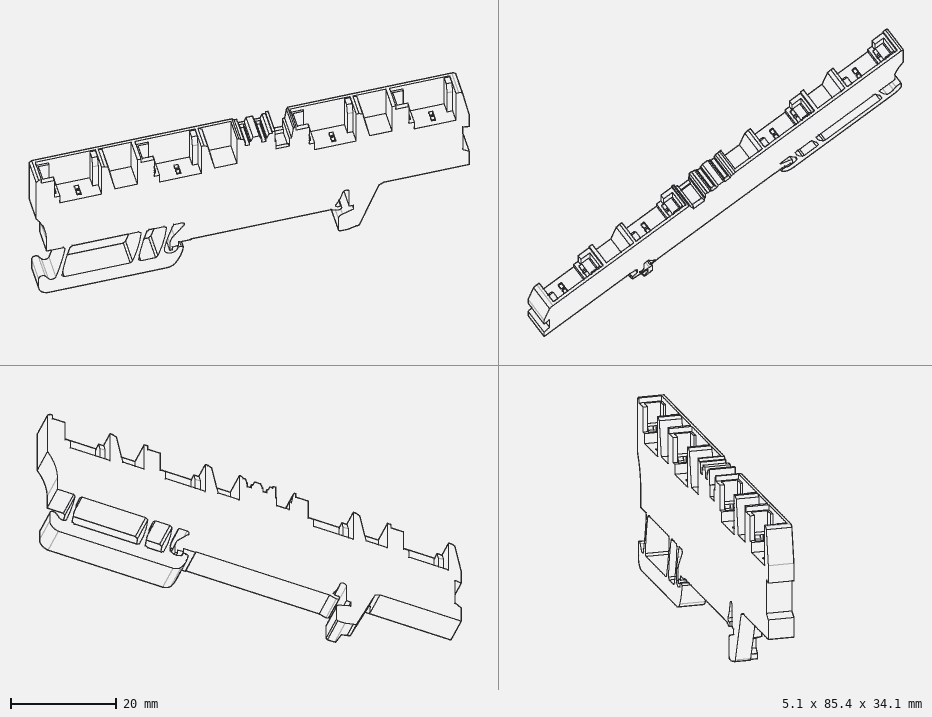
import cadquery as cq

WIDTH = 5.1
LENGTH = 85.4
HEIGHT = 34.05
SIDE_WALL = 0.6

BASE_Z = 12.0
FOOT_END_BASE_Z = 12.45
RAIL_SEAT_Z = 7.1
CLEARANCE = 1.0

SLOPE_RUN = 1.3
SLOPE_BOTTOM_Z = 26.8
SLOPE_TOP_Z = 33.6
TOP_BEVEL_RUN = 0.8

FIRST_FIN_Y = 82.75
TERMINAL_PITCH = 19.65
GROUP_PITCH = 50.2
FIN_FRONTS = [
    FIRST_FIN_Y - group * GROUP_PITCH - place * TERMINAL_PITCH for group in range(2) for place in range(2)
]
FIN_TOP = 0.55
LEDGE_START = 8.2
FRAME_START = 9.25
POCKET_END = 11.85
GAP_LENGTH = 7.05

ENTRY_FLOOR_Z = HEIGHT - 8.0
LEDGE_Z = HEIGHT - 6.0
FRAME_TOP_Z = HEIGHT - 1.0

BUTTON_START = 8.75
BUTTON_LENGTH = 2.6
BUTTON_X = 1.0
BUTTON_WIDTH = 3.2
BUTTON_TOP_Z = LEDGE_Z + 1.0
BUTTON_HEIGHT = 8.0
BUTTON_BOTTOM_Z = BUTTON_TOP_Z - BUTTON_HEIGHT
BUTTON_SLOT_X = 2.5
BUTTON_SLOT_WIDTH = 0.6
BUTTON_SLOT_LENGTH = 0.6
BUTTON_SLOT_DEPTH = 2.0
BUTTON_BEVEL = 0.3


def box(x_range, y_range, z_range):
    """Box between two corner values on each axis."""
    (x0, x1), (y0, y1), (z0, z1) = x_range, y_range, z_range
    return cq.Workplane("XY").box(x1 - x0, y1 - y0, z1 - z0, centered=False).translate((x0, y0, z0))


def prism(points, x0=0.0, x1=WIDTH):
    """Straight-sided (y, z) outline extruded from x0 to x1."""
    return cq.Workplane("YZ").workplane(offset=x0).polyline(points).close().extrude(x1 - x0)


def main_block():
    """Long block with the sloped +Y end, its latch recess and the curved -Y end."""
    recess_y = LENGTH - SLOPE_RUN
    end_bevel = 0.5
    curve_foot = (2.05, 15.95)
    curve_head_z = 22.7
    step_y = 45.0
    return (
        cq.Workplane("YZ")
        .moveTo(end_bevel, HEIGHT)
        .lineTo(recess_y - TOP_BEVEL_RUN, HEIGHT)
        .tangentArcPoint((recess_y, SLOPE_TOP_Z), relative=False)
        .lineTo(LENGTH, SLOPE_BOTTOM_Z)
        .lineTo(LENGTH, 23.3)
        .lineTo(recess_y, 23.55)
        .lineTo(recess_y, 16.85)
        .lineTo(LENGTH, 15.95)
        .lineTo(LENGTH, BASE_Z)
        .lineTo(step_y, BASE_Z)
        .lineTo(step_y, FOOT_END_BASE_Z)
        .lineTo(curve_foot[0], FOOT_END_BASE_Z)
        .lineTo(*curve_foot)
        .tangentArcPoint((0, curve_head_z), relative=False)
        .lineTo(0, HEIGHT - end_bevel)
        .close()
        .extrude(WIDTH)
    )


def rail_seat():
    """Lower block that sits on the rail, with a lip at +Y and a hook at -Y."""
    return (
        cq.Workplane("YZ")
        .moveTo(60.4, FOOT_END_BASE_Z)
        .lineTo(60.4, 11.35)
        .lineTo(59.9, 9.7)
        .lineTo(59.0, 8.1)
        .threePointArc((59.4, 7.6), (60.0, 7.65))
        .threePointArc((60.2, 6.95), (59.6, 6.6))
        .lineTo(58.2, RAIL_SEAT_Z)
        .lineTo(30.6, RAIL_SEAT_Z)
        .lineTo(30.6, 6.9)
        .lineTo(28.1, 6.9)
        .lineTo(28.1, 6.0)
        .lineTo(26.85, 5.85)
        .lineTo(26.85, 5.0)
        .lineTo(26.35, 5.0)
        .lineTo(26.35, RAIL_SEAT_Z)
        .threePointArc((26.6, 8.2), (27.2, 9.2))
        .lineTo(29.1, 11.6)
        .threePointArc((29.2, 12.1), (28.8, FOOT_END_BASE_Z))
        .close()
        .extrude(WIDTH)
    )


WEB_START_X = 2.05
WEB_DRAFT = 9.5


def spring_foot():
    """Curved spring strip with a latch nose, backed by a stiffening web."""
    strip_face_y = 61.7
    nose_y = 59.6
    slot_far_y = 60.4
    slot_radius = (strip_face_y - slot_far_y) / 2
    slot_shoulder_z = 11.35
    return (
        cq.Workplane("YZ")
        .moveTo(68.6, BASE_Z)
        .lineTo(67.6, 11.5)
        .lineTo(63.85, 1.2)
        .threePointArc((63.6, 0.8), (63.1, 0.7))
        .lineTo(61.4, 0.2)
        .lineTo(nose_y + 0.3, 0.2)
        .lineTo(nose_y, 0.5)
        .lineTo(nose_y, 4.0)
        .threePointArc((59.8, 4.7), (60.4, 5.1))
        .lineTo(62.6, 5.95)
        .lineTo(62.6, 7.0)
        .lineTo(strip_face_y, RAIL_SEAT_Z)
        .lineTo(strip_face_y, slot_shoulder_z)
        .radiusArc((slot_far_y, slot_shoulder_z), -slot_radius)
        .lineTo(slot_far_y, FOOT_END_BASE_Z)
        .lineTo(68.6, FOOT_END_BASE_Z)
        .close()
        .extrude(WIDTH)
    )


def web_recess():
    """Drafted space behind the spring strip, carried on past the web's free edge."""
    outer_y = 72.0
    return (
        cq.Workplane("YZ")
        .moveTo(outer_y, BASE_Z)
        .lineTo(64.9, BASE_Z)
        .threePointArc((63.7, 11.5), (63.2, 10.3))
        .lineTo(63.2, 8.3)
        .lineTo(64.4, 7.6)
        .lineTo(64.4, 5.6)
        .lineTo(60.75, 4.2)
        .lineTo(60.75, 2.2)
        .lineTo(61.6, 1.3)
        .lineTo(61.6, -CLEARANCE)
        .lineTo(outer_y, -CLEARANCE)
        .close()
        .extrude(WEB_START_X, taper=WEB_DRAFT)
    )


FOOT_FLOOR_Z = 3.75


def rail_foot():
    """Flat runner with upturned ends, hung from the block by three slanted legs."""
    foot = (
        cq.Workplane("YZ")
        .moveTo(27.15, FOOT_END_BASE_Z)
        .lineTo(26.85, 11.8)
        .lineTo(26.3, 10.05)
        .threePointArc((25.7, 8.0), (25.3, 6.0))
        .lineTo(25.35, 5.1)
        .threePointArc((26.3, 4.25), (27.95, 5.5))
        .lineTo(28.6, 5.55)
        .lineTo(29.05, 5.2)
        .threePointArc((28.5, 2.9), (27.6, 1.1))
        .threePointArc((26.8, 0.3), (25.9, 0))
        .lineTo(2.25, 0)
        .threePointArc((1.0, 0.75), (0.5, 2.35))
        .lineTo(0.5, 4.6)
        .threePointArc((1.2, 5.4), (1.8, 5.1))
        .lineTo(2.4, 4.2)
        .threePointArc((3.15, FOOT_FLOOR_Z), (3.9, 4.2))
        .threePointArc((4.8, 7.5), (5.7, 11.95))
        .lineTo(5.4, FOOT_END_BASE_Z)
        .close()
        .extrude(WIDTH)
    )
    windows = [
        leg_window(25.7, 24.0, 22.05, 20.2),
        leg_window(20.7, 19.0, 6.9, 5.1),
    ]
    for window in windows:
        foot = foot.cut(window)
    return foot


def leg_window(left_top, left_foot, right_top, right_foot):
    """Opening between two slanted, slightly bowed legs; the values are its Y corners."""
    corner = 0.45
    high = FOOT_END_BASE_Z
    middle_z = 8.2
    bow = 0.3
    left_middle = (left_top + left_foot) / 2 + bow
    right_middle = (right_top + right_foot) / 2 - bow
    return (
        cq.Workplane("YZ")
        .moveTo(left_top - corner, high)
        .lineTo(left_top, high - corner)
        .threePointArc((left_middle, middle_z), (left_foot, FOOT_FLOOR_Z + corner))
        .lineTo(left_foot - corner, FOOT_FLOOR_Z)
        .lineTo(right_foot + corner, FOOT_FLOOR_Z)
        .lineTo(right_foot, FOOT_FLOOR_Z + corner)
        .threePointArc((right_middle, middle_z), (right_top - corner / 2, high - corner))
        .lineTo(right_top + corner / 2, high)
        .close()
        .extrude(WIDTH)
    )


def bridge_notch():
    """Stepped notch across the top, with a deeper well between its side walls."""
    bevel_z = 33.6
    step_z = 31.0
    floor_z = 28.7
    far_y, near_y = 49.9, 47.3
    outline = [
        (50.95, HEIGHT),
        (50.7, bevel_z),
        (50.35, step_z),
        (far_y, step_z),
        (far_y, floor_z),
        (near_y, floor_z),
        (near_y, step_z),
        (47.1, step_z),
        (47.1, HEIGHT),
    ]
    well_depth = 1.0
    well = box((0.8, 4.4), (near_y, far_y), (floor_z - well_depth, floor_z))
    return prism(outline).union(well)


def grip_grooves():
    """Two tapered grooves between low ribs, each with a slit open to the +X side."""
    rib_z = 33.6
    floor_z = 32.55
    slit_depth = 1.0
    outline = [
        (46.55, HEIGHT),
        (46.55, rib_z),
        (45.9, rib_z),
        (45.5, floor_z),
        (44.35, floor_z),
        (44.0, rib_z),
        (42.75, rib_z),
        (42.35, floor_z),
        (41.15, floor_z),
        (40.9, rib_z),
        (40.4, rib_z),
        (39.95, HEIGHT),
    ]
    cutter = prism(outline)
    for near_y, far_y in [(44.5, 45.3), (41.25, 42.1)]:
        slit = box((SIDE_WALL, WIDTH), (near_y, far_y), (floor_z - slit_depth, floor_z))
        cutter = cutter.union(slit)
    return cutter


def gap_pocket(fin_front):
    """Pocket in front of a fin; its far wall carries the same slope as the block's end."""
    bevel_y = fin_front + FIN_TOP
    slope_y = bevel_y + TOP_BEVEL_RUN
    outline = [
        (bevel_y, HEIGHT),
        (slope_y, SLOPE_TOP_Z),
        (slope_y + SLOPE_RUN, SLOPE_BOTTOM_Z),
        (fin_front + GAP_LENGTH, SLOPE_BOTTOM_Z),
        (fin_front + GAP_LENGTH, HEIGHT),
    ]
    return prism(outline, SIDE_WALL, WIDTH)


def terminal_pocket(fin_front):
    """Wire entry pocket with test openings, a keyed corner and a U-shaped frame for the button."""
    open_x = (SIDE_WALL, WIDTH)
    entry = box(open_x, (fin_front - LEDGE_START, fin_front), (ENTRY_FLOOR_Z, HEIGHT))
    ledge = box(open_x, (fin_front - POCKET_END, fin_front - LEDGE_START), (LEDGE_Z, HEIGHT))
    pocket = entry.union(ledge)

    button_end = fin_front - BUTTON_START - BUTTON_LENGTH
    frame = box(open_x, (fin_front - POCKET_END, fin_front - FRAME_START), (LEDGE_Z, FRAME_TOP_Z))
    frame_opening = box(
        (BUTTON_X, BUTTON_X + BUTTON_WIDTH), (button_end, fin_front - FRAME_START), (LEDGE_Z, FRAME_TOP_Z)
    )
    pocket = pocket.cut(frame.cut(frame_opening))

    key_depth = 1.1
    key_x = 2.1
    shoulder_x = 2.7
    key_z = HEIGHT - 0.3
    shoulder_z = key_z - 2.0
    key_outline = [
        (SIDE_WALL, ENTRY_FLOOR_Z),
        (shoulder_x, ENTRY_FLOOR_Z),
        (shoulder_x, shoulder_z),
        (key_x, key_z),
        (SIDE_WALL, key_z),
    ]
    key = cq.Workplane("XZ").polyline(key_outline).close().extrude(key_depth).translate((0, fin_front, 0))
    pocket = pocket.cut(key)

    test_depth = 1.0
    test_start = 3.7
    test_width = 1.0
    test_length = 0.8
    for test_x in (1.8, 3.05):
        test_hole = box(
            (test_x, test_x + test_width),
            (fin_front - test_start - test_length, fin_front - test_start),
            (ENTRY_FLOOR_Z - test_depth, ENTRY_FLOOR_Z),
        )
        pocket = pocket.union(test_hole)
    return pocket


def button_block(fin_front):
    """Full rectangular envelope of a button."""
    far_y = fin_front - BUTTON_START
    return box(
        (BUTTON_X, BUTTON_X + BUTTON_WIDTH),
        (far_y - BUTTON_LENGTH, far_y),
        (BUTTON_BOTTOM_Z, BUTTON_TOP_Z),
    )


def build_housing():
    housing = main_block().union(rail_seat()).union(rail_foot())
    housing = housing.union(spring_foot().cut(web_recess()))
    housing = housing.cut(bridge_notch()).cut(grip_grooves())
    for fin_front in FIN_FRONTS:
        housing = housing.cut(terminal_pocket(fin_front)).cut(button_block(fin_front))
    for fin_front in FIN_FRONTS[1:]:
        housing = housing.cut(gap_pocket(fin_front))
    return housing


def build_button(fin_front):
    """Rectangular push button with a bevelled top and a driver slot in its +Y edge."""
    far_y = fin_front - BUTTON_START
    driver_slot = box(
        (BUTTON_SLOT_X, BUTTON_SLOT_X + BUTTON_SLOT_WIDTH),
        (far_y - BUTTON_SLOT_LENGTH, far_y),
        (BUTTON_TOP_Z - BUTTON_SLOT_DEPTH, BUTTON_TOP_Z),
    )
    block = button_block(fin_front).faces(">Z").edges("<X or <Y").chamfer(BUTTON_BEVEL)
    block = block.faces(">Z").edges(">Y").chamfer(BUTTON_SLOT_LENGTH)
    return block.cut(driver_slot)


housing = build_housing()
buttons = [build_button(fin_front).val() for fin_front in FIN_FRONTS]

result = cq.Compound.makeCompound([housing.val(), *buttons])